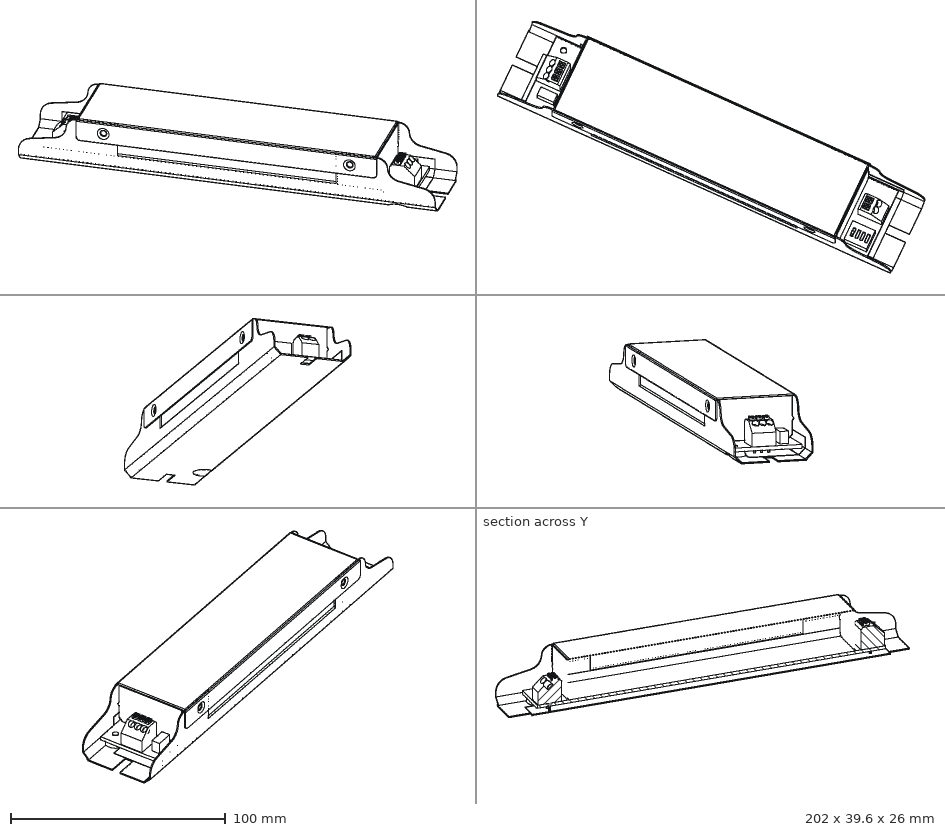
import cadquery as cq
import math

SHEET = 0.6

BASE_HALF_LENGTH = 100.8
BASE_WIDTH = 38.4
FLOOR_END_X = 101.2
BEVEL = 3.5
NOSE_Z = 11.5
SHOULDER_X = 77.8
SHOULDER_Z = 15.5
NOSE_RADIUS = 6.5
VALLEY_RADIUS = 6.5
SHOULDER_RADIUS = 5.0
END_SLOT_WIDTH = 4.2
LINER_HALF_LENGTH = 90.3

PANEL_HALF_LENGTH = 53.0
PANEL_BOTTOM = 10.0
PANEL_DEPTH = 0.8
PANEL_SILL_DROP = 0.6

CONE_X = 82.0
CONE_Y = -13.3
CONE_BASE_RADIUS = 5.7
CONE_TOP_RADIUS = 4.2
EARTH_HOLE_DIAMETER = 2.8

COVER_LENGTH = 145.5
COVER_TOP = 26.0
COVER_WIDTH = BASE_WIDTH + 2 * SHEET
COVER_EDGE_CHAMFER = 1.0
SKIRT_BOTTOM = 15.2
SKIRT_CORNER_RADIUS = 1.8
FLANGE_WIDTH = 35.1
FLANGE_BOTTOM = 5.5
FLANGE_CHAMFER = 1.6
EAR_REACH = 0.8
EAR_HALF_HEIGHT = 1.2
EAR_Z = 14.7
DIMPLE_X = 59.5
DIMPLE_Z = 20.2
DIMPLE_OUTER_DIAMETER = 5.7
DIMPLE_INNER_DIAMETER = 3.2
DIMPLE_SEAT_DIAMETER = 2.8
DIMPLE_SEAT_DEPTH = 0.5

LINER_THICKNESS = 0.2
LINER_TOP = 8.9
LINER_CUT_X = 75.8
LINER_CUT_Y = -8.7

BOARD_LENGTH = 175.7
BOARD_WIDTH = 35.5
BOARD_BOTTOM = 3.2
BOARD_TOP = 5.0
JUMPER_X = 79.4
JUMPER_Y = 10.4
JUMPER_LENGTH = 8.5
JUMPER_WIDTH = 4.2
PIN_DIAMETER = 0.7
SHORT_PIN_BOTTOM = 1.6
PART_TOP = 11.0

SWITCH_X = -80.9
SWITCH_Y = 10.0
SWITCH_LENGTH = 11.5
SWITCH_WIDTH = 9.7
SWITCH_COUNT = 4
SWITCH_PITCH = 2.5
SWITCH_SLOT_WIDTH = 1.2
SWITCH_SLOT_LENGTH = 4.0
SWITCH_SLOT_DEPTH = 1.6
SWITCH_FIRST_X = -84.8
SWITCH_ROW_SPACING = 7.7
KNOB_LENGTH = 1.5
KNOB_Y = 10.7
KNOB_TOP = 12.3

TERMINAL_LENGTH = 12.1
TERMINAL_SETBACK = 0.5
TERMINAL_TOP = 16.4
TERMINAL_FRONT_TOP = 11.5
TERMINAL_SLOPE_LENGTH = 5.3
TERMINAL_BACK_CHAMFER = 1.2
TERMINAL_POLE_PITCH = 3.5
TERMINAL_SIDE = 1.5
WIRE_HOLE_DIAMETER = 3.2
WIRE_HOLE_DEPTH = 3.0
WIRE_HOLE_SHIFT = 0.6
WIRE_HOLE_RISE = 0.8
BUTTON_LENGTH = 3.0
BUTTON_WIDTH = 2.5
BUTTON_HEIGHT = 1.5
BUTTON_FROM_BACK = 3.5
BUTTON_CROSS_WIDTH = 0.6
BUTTON_CROSS_DEPTH = 0.6
TERMINAL_PIN_WIDTH = 0.8
TERMINAL_PIN_BOTTOM = 1.0
LEFT_TERMINAL_Y = -3.94
RIGHT_TERMINAL_Y = -0.6

BASE_HALF_WIDTH = BASE_WIDTH / 2
WALL_TOP = COVER_TOP - SHEET


def box(x_min, x_max, y_min, y_max, z_min, z_max):
    size = (x_max - x_min, y_max - y_min, z_max - z_min)
    return cq.Workplane("XY").box(*size, centered=False).translate((x_min, y_min, z_min))


def centred_box(x, y, length, width, z_min, z_max):
    return box(x - length / 2, x + length / 2, y - width / 2, y + width / 2, z_min, z_max)


def upright_cylinder(x, y, diameter, z_min, z_max):
    return cq.Workplane("XY", origin=(x, y, z_min)).circle(diameter / 2).extrude(z_max - z_min)


def trough(inset, x_min, x_max, top):
    """Solid with the tray's 45 degree bevelled cross-section, moved inwards by the inset."""
    half_width = BASE_HALF_WIDTH - inset
    bend_shift = inset * (math.sqrt(2) - 1)
    floor_half = BASE_HALF_WIDTH - BEVEL - bend_shift
    bevel_top = BEVEL + bend_shift
    outline = [
        (-half_width, top),
        (-half_width, bevel_top),
        (-floor_half, inset),
        (floor_half, inset),
        (half_width, bevel_top),
        (half_width, top),
    ]
    plane = cq.Workplane("YZ", origin=(x_min, 0, 0))
    return plane.polyline(outline).close().extrude(x_max - x_min)


def edges_at(x, z):
    """Selector for the cross edges near one corner of the side outline."""
    reach = 0.2
    low = (x - reach, -COVER_WIDTH, z - reach)
    high = (x + reach, COVER_WIDTH, z + reach)
    return cq.selectors.BoxSelector(low, high)


def side_profile():
    """Wide block with the side outline of the tray: low noses rising to the shoulders."""
    outline = [
        (-BASE_HALF_LENGTH, 0),
        (-BASE_HALF_LENGTH, NOSE_Z),
        (-SHOULDER_X, SHOULDER_Z),
        (-SHOULDER_X, WALL_TOP),
        (SHOULDER_X, WALL_TOP),
        (SHOULDER_X, SHOULDER_Z),
        (BASE_HALF_LENGTH, NOSE_Z),
        (BASE_HALF_LENGTH, 0),
    ]
    profile = cq.Workplane("XZ").polyline(outline).close().extrude(BASE_HALF_WIDTH, both=True)
    for side in (-1, 1):
        profile = profile.edges(edges_at(side * BASE_HALF_LENGTH, NOSE_Z)).fillet(NOSE_RADIUS)
        profile = profile.edges(edges_at(side * SHOULDER_X, SHOULDER_Z)).fillet(VALLEY_RADIUS)
        profile = profile.edges(edges_at(side * SHOULDER_X, WALL_TOP)).fillet(SHOULDER_RADIUS)
    return profile


def earth_cone(inset):
    """Pressed cone under the board; the inset gives its hollow inside."""
    base = cq.Workplane("XY", origin=(CONE_X, CONE_Y, 0)).circle(CONE_BASE_RADIUS - inset)
    top = base.workplane(offset=BOARD_BOTTOM - inset).circle(CONE_TOP_RADIUS - inset)
    return top.loft(ruled=True)


def dimple(side, x, outer_y, depth, outer_diameter, inner_diameter):
    """Round recess going into a side wall, with its mouth at the outer face."""
    plane = cq.Plane(origin=(x, side * outer_y, DIMPLE_Z), xDir=(1, 0, 0), normal=(0, -side, 0))
    mouth = cq.Workplane(plane).circle(outer_diameter / 2)
    return mouth.workplane(offset=depth).circle(inner_diameter / 2).loft(ruled=True)


def panel_prism(side, growth):
    """Space of one recessed wall panel; the growth turns it into the backing behind the recess."""
    outer_y = side * BASE_HALF_WIDTH
    inner_y = side * (BASE_HALF_WIDTH - PANEL_DEPTH - growth)
    half_length = PANEL_HALF_LENGTH + growth
    outline = [
        (outer_y, WALL_TOP),
        (inner_y, WALL_TOP),
        (inner_y, PANEL_BOTTOM - growth),
        (outer_y, PANEL_BOTTOM - PANEL_SILL_DROP - growth),
    ]
    plane = cq.Workplane("YZ", origin=(-half_length, 0, 0))
    return plane.polyline(outline).close().extrude(2 * half_length)


def make_base():
    envelope = trough(0, -BASE_HALF_LENGTH, BASE_HALF_LENGTH, WALL_TOP)
    inside = trough(SHEET, -BASE_HALF_LENGTH, BASE_HALF_LENGTH, WALL_TOP)
    base = envelope.cut(inside).intersect(side_profile())

    floor_layer = box(BASE_HALF_LENGTH, FLOOR_END_X, -BASE_HALF_WIDTH, BASE_HALF_WIDTH, 0, SHEET)
    base = base.union(trough(0, BASE_HALF_LENGTH, FLOOR_END_X, WALL_TOP).intersect(floor_layer))
    base = base.union(earth_cone(0).intersect(envelope)).cut(earth_cone(SHEET))

    for side in (-1, 1):
        slot_centre = side * (LINER_HALF_LENGTH + FLOOR_END_X) / 2
        slot_length = FLOOR_END_X - LINER_HALF_LENGTH
        base = base.cut(centred_box(slot_centre, 0, slot_length, END_SLOT_WIDTH, 0, SHEET))

        base = base.union(panel_prism(side, SHEET)).cut(panel_prism(side, 0))

        for x in (-DIMPLE_X, DIMPLE_X):
            seat = dimple(
                side, x, BASE_HALF_WIDTH, DIMPLE_SEAT_DEPTH, DIMPLE_SEAT_DIAMETER, DIMPLE_SEAT_DIAMETER
            )
            base = base.cut(seat)
    return base


def end_flange(side):
    """Flange hanging from one end of the cover between the tray walls, with a pointed ear each side."""
    half = FLANGE_WIDTH / 2
    right_edge = [
        (half - FLANGE_CHAMFER, FLANGE_BOTTOM),
        (half, FLANGE_BOTTOM + FLANGE_CHAMFER),
        (half, EAR_Z - EAR_HALF_HEIGHT),
        (half + EAR_REACH, EAR_Z),
        (half, EAR_Z + EAR_HALF_HEIGHT),
        (half, WALL_TOP),
    ]
    left_edge = [(-y, z) for y, z in reversed(right_edge)]
    inner_x = COVER_LENGTH / 2 - SHEET
    plane = cq.Workplane("YZ", origin=(side * inner_x, 0, 0))
    return plane.polyline(right_edge + left_edge).close().extrude(side * SHEET)


def make_cover():
    half_length = COVER_LENGTH / 2
    half_width = COVER_WIDTH / 2
    cover = box(-half_length, half_length, -half_width, half_width, SKIRT_BOTTOM, COVER_TOP)
    cover = cover.edges("|Y and <Z").fillet(SKIRT_CORNER_RADIUS)
    cover = cover.faces(">Z").edges().chamfer(COVER_EDGE_CHAMFER)
    cover = cover.cut(
        box(-half_length, half_length, -BASE_HALF_WIDTH, BASE_HALF_WIDTH, SKIRT_BOTTOM, WALL_TOP)
    )
    for side in (-1, 1):
        cover = cover.union(end_flange(side))
        for x in (-DIMPLE_X, DIMPLE_X):
            countersink = dimple(side, x, half_width, SHEET, DIMPLE_OUTER_DIAMETER, DIMPLE_INNER_DIAMETER)
            cover = cover.cut(countersink)
    return cover


def make_liner():
    outside = trough(SHEET, -LINER_HALF_LENGTH, LINER_HALF_LENGTH, LINER_TOP)
    inside = trough(SHEET + LINER_THICKNESS, -LINER_HALF_LENGTH, LINER_HALF_LENGTH, LINER_TOP)
    cone_relief = box(LINER_CUT_X, LINER_HALF_LENGTH, -BASE_HALF_WIDTH, LINER_CUT_Y, 0, LINER_TOP)
    return outside.cut(inside).cut(cone_relief).cut(earth_cone(0))


def short_pin(x, y):
    return upright_cylinder(x, y, PIN_DIAMETER, SHORT_PIN_BOTTOM, BOARD_TOP)


def make_switch():
    switch = centred_box(SWITCH_X, SWITCH_Y, SWITCH_LENGTH, SWITCH_WIDTH, BOARD_TOP, PART_TOP)
    slot_floor = PART_TOP - SWITCH_SLOT_DEPTH
    for index in range(SWITCH_COUNT):
        x = SWITCH_FIRST_X + index * SWITCH_PITCH
        slot = centred_box(x, SWITCH_Y, SWITCH_SLOT_WIDTH, SWITCH_SLOT_LENGTH, slot_floor, PART_TOP)
        switch = switch.cut(slot)
        for row in (-1, 1):
            switch = switch.union(short_pin(x, SWITCH_Y + row * SWITCH_ROW_SPACING / 2))
    last_x = SWITCH_FIRST_X + (SWITCH_COUNT - 1) * SWITCH_PITCH
    knob = centred_box(last_x, KNOB_Y, SWITCH_SLOT_WIDTH, KNOB_LENGTH, slot_floor, KNOB_TOP)
    return switch.union(knob)


def terminal_body(width):
    """Block with a sloping wire-entry face at -X and a small chamfer along the back."""
    half = TERMINAL_LENGTH / 2
    outline = [
        (-half, BOARD_TOP),
        (-half, TERMINAL_FRONT_TOP),
        (-half + TERMINAL_SLOPE_LENGTH, TERMINAL_TOP),
        (half - TERMINAL_BACK_CHAMFER, TERMINAL_TOP),
        (half, TERMINAL_TOP - TERMINAL_BACK_CHAMFER),
        (half, BOARD_TOP),
    ]
    return cq.Workplane("XZ").polyline(outline).close().extrude(width / 2, both=True)


def wire_hole(y):
    """Round hole going square into the sloping face."""
    slope_height = TERMINAL_TOP - TERMINAL_FRONT_TOP
    x = -TERMINAL_LENGTH / 2 + WIRE_HOLE_RISE * TERMINAL_SLOPE_LENGTH
    z = TERMINAL_FRONT_TOP + WIRE_HOLE_RISE * slope_height
    inwards = cq.Vector(slope_height, 0, -TERMINAL_SLOPE_LENGTH)
    plane = cq.Plane(origin=(x, y, z), xDir=(0, 1, 0), normal=inwards)
    radius = WIRE_HOLE_DIAMETER / 2
    return cq.Workplane(plane).workplane(offset=-radius).circle(radius).extrude(WIRE_HOLE_DEPTH + radius)


def release_button(y):
    """Raised push button with a cross slot in its top."""
    x = TERMINAL_LENGTH / 2 - BUTTON_FROM_BACK
    top = TERMINAL_TOP + BUTTON_HEIGHT
    button = centred_box(x, y, BUTTON_LENGTH, BUTTON_WIDTH, TERMINAL_TOP, top)
    button = button.cut(centred_box(x, y, BUTTON_LENGTH, BUTTON_CROSS_WIDTH, top - BUTTON_CROSS_DEPTH, top))
    return button.cut(centred_box(x, y, BUTTON_CROSS_WIDTH, BUTTON_WIDTH, top - BUTTON_CROSS_DEPTH, top))


def make_terminal(poles):
    """Terminal block centred on the Z axis, with its wire entries facing -X."""
    terminal = terminal_body(poles * TERMINAL_POLE_PITCH + TERMINAL_SIDE)
    for index in range(poles):
        button_y = (index - (poles - 1) / 2) * TERMINAL_POLE_PITCH
        hole_y = button_y - WIRE_HOLE_SHIFT
        pin = centred_box(
            0, hole_y, TERMINAL_PIN_WIDTH, TERMINAL_PIN_WIDTH, TERMINAL_PIN_BOTTOM, BOARD_TOP
        )
        terminal = terminal.cut(wire_hole(hole_y)).union(release_button(button_y)).union(pin)
    return terminal


def make_board(mounted_parts):
    """Board with its jumper block, and holes that match the pins of the mounted parts."""
    board = centred_box(0, 0, BOARD_LENGTH, BOARD_WIDTH, BOARD_BOTTOM, BOARD_TOP)
    board = board.cut(upright_cylinder(CONE_X, CONE_Y, EARTH_HOLE_DIAMETER, BOARD_BOTTOM, BOARD_TOP))
    jumper = centred_box(JUMPER_X, JUMPER_Y, JUMPER_LENGTH, JUMPER_WIDTH, BOARD_TOP, PART_TOP)
    board = board.union(jumper).union(short_pin(JUMPER_X, JUMPER_Y))
    for part in mounted_parts:
        board = board.cut(part)
    return board


base = make_base()
cover = make_cover()
liner = make_liner()
switch = make_switch()

terminal_x = (BOARD_LENGTH - TERMINAL_LENGTH) / 2 - TERMINAL_SETBACK
left_terminal = make_terminal(poles=2).translate((-terminal_x, LEFT_TERMINAL_Y, 0))
right_terminal = make_terminal(poles=3).rotate((0, 0, 0), (0, 0, 1), 180)
right_terminal = right_terminal.translate((terminal_x, RIGHT_TERMINAL_Y, 0))
board = make_board([switch, left_terminal, right_terminal])

bodies = [base, cover, liner, board, switch, left_terminal, right_terminal]
result = cq.Compound.makeCompound([body.val() for body in bodies])